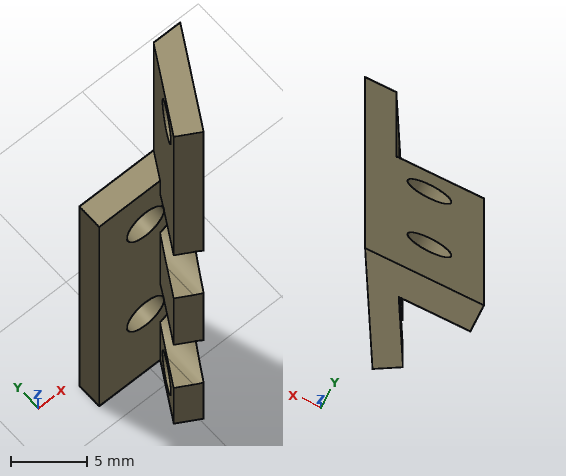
import cadquery as cq
import math

width = 8.7
depth = 7.15
height = 40.0
thickness = 2.0
flange_height = 25.0
plate_angle = math.radians(60)

screw_x = 4.0
screw_heights = (8.0, 20.5)
screw_diameter = 3.2
head_diameter = 6.0

pin_diameter = 3.0
pin_edge_margin = 1.0
pin_inset = pin_edge_margin + pin_diameter / 2

along = cq.Vector(-math.cos(plate_angle), -math.sin(plate_angle), 0)
inward = cq.Vector(-math.sin(plate_angle), math.cos(plate_angle), 0)
back_corner = cq.Vector(width, 0, 0)
plate_length = depth / math.sin(plate_angle)
back_face_width = thickness / math.sin(plate_angle)


def make_flange():
    """Flat flange along the back, ending inside the slanted plate."""
    flange_width = width - back_face_width
    slant_shift = thickness / math.tan(plate_angle)
    outline = [
        (0, 0),
        (flange_width, 0),
        (flange_width - slant_shift, -thickness),
        (0, -thickness),
    ]
    return cq.Workplane("XY").polyline(outline).close().extrude(flange_height)


def make_slanted_plate():
    """Full-height plate with a square free edge and a back edge flush with the flange."""
    outer_free = back_corner + along * plate_length
    inner_free = outer_free + inward * thickness
    outline = [
        (width - back_face_width, 0),
        (width, 0),
        (outer_free.x, outer_free.y),
        (inner_free.x, inner_free.y),
    ]
    return cq.Workplane("XY").polyline(outline).close().extrude(height)


def make_head_clearance(z):
    """Slot in front of the flange, rounded about the screw and open towards -X."""
    radius = head_diameter / 2
    return (
        cq.Workplane("XZ", origin=(0, -thickness, 0))
        .moveTo(0, z - radius)
        .lineTo(screw_x, z - radius)
        .threePointArc((screw_x + radius, z), (screw_x, z + radius))
        .lineTo(0, z + radius)
        .close()
        .extrude(depth)
    )


def make_screw_hole(z):
    """Hole through the flange along Y."""
    return (
        cq.Workplane("XZ")
        .center(screw_x, z)
        .circle(screw_diameter / 2)
        .extrude(depth)
    )


def make_pin_hole(z):
    """Hole square through the slanted plate, near its free edge."""
    start = back_corner + along * (plate_length - pin_inset) + cq.Vector(0, 0, z)
    return cq.Solid.makeCylinder(pin_diameter / 2, thickness, start, inward)


result = make_flange().union(make_slanted_plate())

for screw_z in screw_heights:
    result = result.cut(make_head_clearance(screw_z))
    result = result.cut(make_screw_hole(screw_z))

for pin_z in (pin_inset, height - pin_inset):
    result = result.cut(make_pin_hole(pin_z))